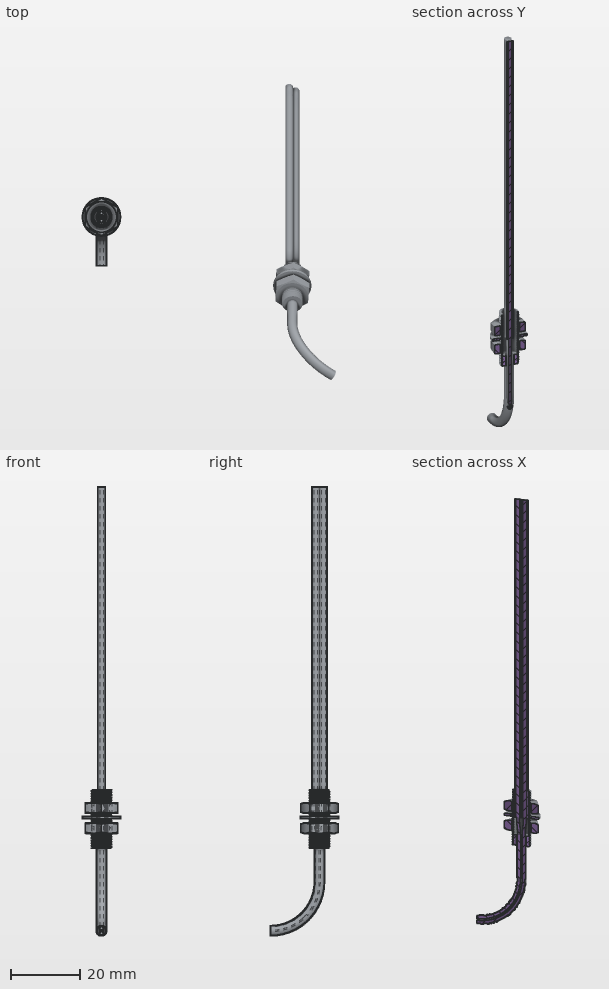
import cadquery as cq
import math

TOTAL_HEIGHT = 129.6

THREAD_BOTTOM = 25.3
THREAD_LENGTH = 16.9
THREAD_DIAMETER = 6.0
THREAD_PITCH = 0.75
THREAD_DEPTH = 0.5
ROOT_WIDTH = 0.03
RIDGE_SINK = 0.06
SPARE_TURNS = 1.5
CABLE_BORE_DIAMETER = 4.5

LOWER_NUT_BOTTOM = 29.5
UPPER_NUT_BOTTOM = 35.4
NUT_ACROSS_FLATS = 9.5
NUT_HEIGHT = 3.1
NUT_FACE_DIAMETER = 8.8
NUT_CHAMFER_ANGLE = 20.0
WASHER_BOTTOM = 33.8
WASHER_DIAMETER = 11.0
WASHER_THICKNESS = 0.8

TUBE_DIAMETER = 3.0
TUBE_BORE_DIAMETER = 2.6
TUBE_TOP = 28.5
BEND_RADIUS = 14.1

CABLE_DIAMETER = 2.2
CABLE_BOTTOM = 33.7
FIBER_DIAMETER = 1.0
FIBER_OFFSET = 0.71

THREAD_TOP = THREAD_BOTTOM + THREAD_LENGTH
CREST_RADIUS = THREAD_DIAMETER / 2
CORE_RADIUS = CREST_RADIUS - THREAD_DEPTH
BEND_TOP = BEND_RADIUS + TUBE_DIAMETER / 2
CABLE_OFFSET = CABLE_DIAMETER / 2
NUT_CORNER_DIAMETER = NUT_ACROSS_FLATS / math.cos(math.radians(30))


def cylinder(diameter, bottom, height, y=0.0):
    return cq.Workplane("XY", origin=(0, y, bottom)).circle(diameter / 2).extrude(height)


def make_ridge():
    """Sharp helical ridge, rooted just inside the core and running past both ends of the thread."""
    spare_length = SPARE_TURNS * THREAD_PITCH
    start = THREAD_BOTTOM - spare_length
    half_root = (THREAD_PITCH - ROOT_WIDTH) / 2
    half_base = half_root * (1 + RIDGE_SINK / THREAD_DEPTH)
    base_radius = CORE_RADIUS - RIDGE_SINK
    helix = cq.Wire.makeHelix(THREAD_PITCH, THREAD_LENGTH + 2 * spare_length, CORE_RADIUS)
    return (
        cq.Workplane("XZ")
        .polyline([
            (base_radius, start - half_base),
            (CREST_RADIUS, start),
            (base_radius, start + half_base),
        ])
        .close()
        .sweep(cq.Workplane(helix.translate(cq.Vector(0, 0, start))), isFrenet=True)
    )


def make_housing():
    """Threaded sleeve: a wide bore for the cables above, a close fit for the tube below."""
    overrun = 2 * SPARE_TURNS * THREAD_PITCH
    core = cylinder(2 * CORE_RADIUS, THREAD_BOTTOM - overrun, THREAD_LENGTH + 2 * overrun)
    envelope = cylinder(2 * THREAD_DIAMETER, THREAD_BOTTOM, THREAD_LENGTH)
    threaded_rod = core.union(make_ridge()).intersect(envelope)
    tube_socket = cylinder(TUBE_DIAMETER, THREAD_BOTTOM, TUBE_TOP - THREAD_BOTTOM)
    cable_bore = cylinder(CABLE_BORE_DIAMETER, TUBE_TOP, THREAD_TOP - TUBE_TOP)
    return threaded_rod.cut(tube_socket).cut(cable_bore)


def make_nut(bottom):
    """Hexagon nut with corners towards +Y and -Y and a conical chamfer on both faces."""
    hexagon = (
        cq.Workplane("XY")
        .polygon(6, NUT_CORNER_DIAMETER)
        .extrude(NUT_HEIGHT)
        .rotate((0, 0, 0), (0, 0, 1), 30)
    )
    face_radius = NUT_FACE_DIAMETER / 2
    rim_radius = NUT_CORNER_DIAMETER / 2
    drop = (rim_radius - face_radius) * math.tan(math.radians(NUT_CHAMFER_ANGLE))
    chamfer_envelope = (
        cq.Workplane("XZ")
        .polyline([
            (0, 0),
            (face_radius, 0),
            (rim_radius, drop),
            (rim_radius, NUT_HEIGHT - drop),
            (face_radius, NUT_HEIGHT),
            (0, NUT_HEIGHT),
        ])
        .close()
        .revolve(360, (0, 0, 0), (0, 1, 0))
    )
    bore = cylinder(THREAD_DIAMETER, 0, NUT_HEIGHT)
    return hexagon.intersect(chamfer_envelope).cut(bore).translate((0, 0, bottom))


def make_washer():
    disc = cylinder(WASHER_DIAMETER, WASHER_BOTTOM, WASHER_THICKNESS)
    return disc.cut(cylinder(THREAD_DIAMETER, WASHER_BOTTOM, WASHER_THICKNESS))


def add_bend(path, y=0.0):
    """Lead a YZ path down from the tube top at this y and round the quarter bend to the tip."""
    radius = BEND_RADIUS + y
    diagonal = radius * math.sqrt(0.5)
    bend_middle = (diagonal - BEND_RADIUS, BEND_TOP - diagonal)
    bend_end = (-BEND_RADIUS, BEND_TOP - radius)
    return path.lineTo(y, BEND_TOP).threePointArc(bend_middle, bend_end)


def make_tube():
    path = add_bend(cq.Workplane("YZ").moveTo(0, TUBE_TOP))
    section = cq.Workplane("XY", origin=(0, 0, TUBE_TOP))
    return section.circle(TUBE_DIAMETER / 2).circle(TUBE_BORE_DIAMETER / 2).sweep(path)


def make_cable(side):
    length = TOTAL_HEIGHT - CABLE_BOTTOM
    jacket = cylinder(CABLE_DIAMETER, CABLE_BOTTOM, length, side * CABLE_OFFSET)
    return jacket.cut(cylinder(FIBER_DIAMETER, CABLE_BOTTOM, length, side * CABLE_OFFSET))


def make_fiber(side):
    """Fiber centred in its cable, drawn towards the axis in the housing and led through the tube."""
    upper_y = side * CABLE_OFFSET
    lower_y = side * FIBER_OFFSET
    shift_middle = ((upper_y + lower_y) / 2, (CABLE_BOTTOM + TUBE_TOP) / 2)
    upper_path = (
        cq.Workplane("YZ")
        .moveTo(upper_y, TOTAL_HEIGHT)
        .lineTo(upper_y, CABLE_BOTTOM)
        .tangentArcPoint(shift_middle, relative=False)
        .tangentArcPoint((lower_y, TUBE_TOP), relative=False)
    )
    section = cq.Workplane("XY", origin=(0, upper_y, TOTAL_HEIGHT)).circle(FIBER_DIAMETER / 2)
    return section.sweep(add_bend(upper_path, lower_y))


SIDES = (-1, 1)
housing = make_housing()
nuts = [make_nut(bottom) for bottom in (LOWER_NUT_BOTTOM, UPPER_NUT_BOTTOM)]
washer = make_washer()
tube = make_tube()
cables = [make_cable(side) for side in SIDES]
fibers = [make_fiber(side) for side in SIDES]

bodies = [housing, *nuts, washer, tube, *cables, *fibers]
result = cq.Compound.makeCompound([body.val() for body in bodies])